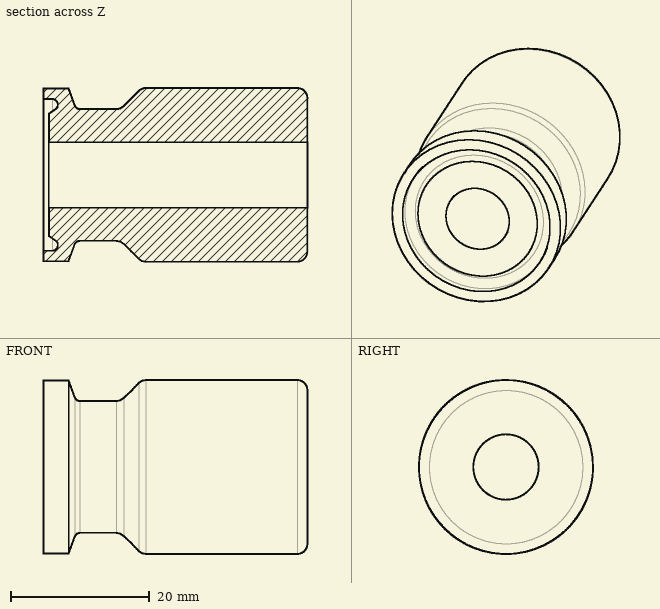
import cadquery as cq
import math

total_length = 38.1
body_radius = 25.15 / 2
body_end_fillet = 1.5

flange_radius = 24.99 / 2
flange_rim_width = 3.63
flange_back_angle = math.radians(20)
flange_root_fillet = 0.75

neck_radius = 19.05 / 2
body_cone_start = 11.12
body_cone_angle = math.radians(45)
body_cone_fillet = 1.5

bore_radius = 9.4 / 2
land_depth = 0.79
groove_outer_radius = 21.89 / 2
groove_floor_radius = 0.79
groove_flank_angle = math.radians(35)
groove_wall_depth = 1.27


def turn_about_x(profile):
    """Revolve a closed half profile (X along the axis, Y as radius) into a solid."""
    return profile.revolve(360, (0, 0, 0), (1, 0, 0))


def fillet_ring(solid, x, ring_radius, fillet_radius):
    """Round the circular edge of the given radius that lies at station x."""
    tolerance = 0.01
    corner_low = (x - tolerance, -ring_radius - tolerance, -ring_radius - tolerance)
    corner_high = (x + tolerance, ring_radius + tolerance, ring_radius + tolerance)
    ring = cq.selectors.BoxSelector(corner_low, corner_high, boundingbox=True)
    return solid.edges(ring).fillet(fillet_radius)


def make_blank():
    """Solid outer shape: flange, neck, cone and body."""
    flange_back_end = flange_rim_width + (flange_radius - neck_radius) * math.tan(flange_back_angle)
    body_start = body_cone_start + (body_radius - neck_radius) / math.tan(body_cone_angle)
    profile = (
        cq.Workplane("XY")
        .moveTo(0, 0)
        .lineTo(0, flange_radius)
        .lineTo(flange_rim_width, flange_radius)
        .lineTo(flange_back_end, neck_radius)
        .lineTo(body_cone_start, neck_radius)
        .lineTo(body_start, body_radius)
        .lineTo(total_length, body_radius)
        .lineTo(total_length, 0)
        .close()
    )
    blank = turn_about_x(profile)
    blank = fillet_ring(blank, flange_back_end, neck_radius, flange_root_fillet)
    blank = fillet_ring(blank, body_cone_start, neck_radius, body_cone_fillet)
    blank = fillet_ring(blank, body_start, body_radius, body_cone_fillet)
    return fillet_ring(blank, total_length, body_radius, body_end_fillet)


def make_face_cavity():
    """Shallow recess over the land together with the round-bottomed gasket groove."""
    arc_centre_radius = groove_outer_radius - groove_floor_radius
    groove_depth = groove_wall_depth + groove_floor_radius
    flank_end_radius = arc_centre_radius - groove_floor_radius * math.cos(groove_flank_angle)
    flank_end_depth = groove_wall_depth + groove_floor_radius * math.sin(groove_flank_angle)
    flank_start_radius = flank_end_radius - (flank_end_depth - land_depth) * math.tan(groove_flank_angle)
    profile = (
        cq.Workplane("XY")
        .moveTo(0, 0)
        .lineTo(0, groove_outer_radius)
        .lineTo(groove_wall_depth, groove_outer_radius)
        .threePointArc((groove_depth, arc_centre_radius), (flank_end_depth, flank_end_radius))
        .lineTo(land_depth, flank_start_radius)
        .lineTo(land_depth, 0)
        .close()
    )
    return turn_about_x(profile)


def make_bore():
    """Straight bore through the full length."""
    return cq.Workplane("YZ").circle(bore_radius).extrude(total_length)


result = make_blank().cut(make_face_cavity()).cut(make_bore())